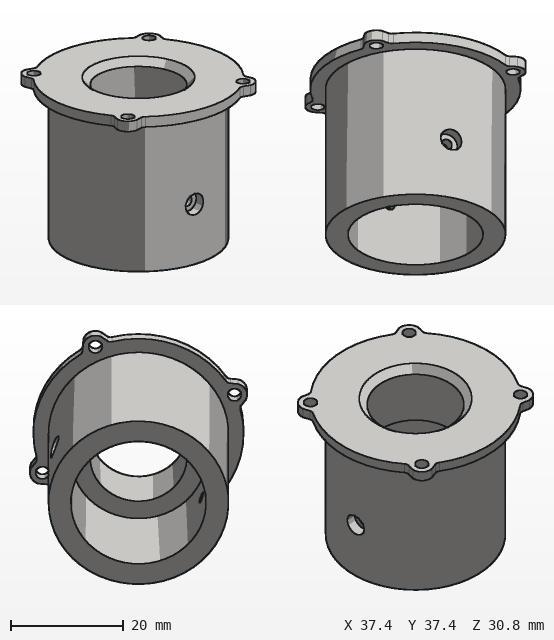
import cadquery as cq
import math

flange_diameter = 37.4
height = 30.8
flange_thickness = 2.0
body_diameter = 32.0

ear_count = 4
ear_radius = 2.25
ear_hole_diameter = 2.4
ear_fillet_radius = 1.0
ear_arc_half_angle = math.radians(50)
ear_flank_angle = math.radians(29)
ear_root_radius = 17.2

bore_diameter = 17.2
mouth_diameter = 20.0
mouth_depth = (mouth_diameter - bore_diameter) / 2
cavity_diameter = 24.0
cavity_depth = 19.0

cross_hole_height = 11.52
cross_hole_y = -0.1
cross_hole_diameter = 2.0
counterbore_diameter = 4.0
counterbore_depth = 2.1

flange_radius = flange_diameter / 2
body_radius = body_diameter / 2
flange_bottom = height - flange_thickness
ear_angles = [math.pi / 4 + 2 * math.pi * i / ear_count for i in range(ear_count)]
position_tolerance = 0.005


def make_ear(angle):
    """Ear at one polar angle: a rounded tip with straight flanks widening into the plate."""
    tip_x = flange_radius + ear_radius
    arc_end_x = flange_radius + ear_radius * math.cos(ear_arc_half_angle)
    arc_end_y = ear_radius * math.sin(ear_arc_half_angle)
    foot_y = arc_end_y + (arc_end_x - ear_root_radius) * math.tan(ear_flank_angle)
    return (
        cq.Workplane("XY")
        .workplane(offset=flange_bottom)
        .moveTo(ear_root_radius, -foot_y)
        .lineTo(arc_end_x, -arc_end_y)
        .threePointArc((tip_x, 0), (arc_end_x, arc_end_y))
        .lineTo(ear_root_radius, foot_y)
        .close()
        .extrude(flange_thickness)
        .rotate((0, 0, 0), (0, 0, 1), math.degrees(angle))
    )


def is_rim_corner(edge):
    """True for an upright edge on the rim circle, away from the X axis."""
    center = edge.Center()
    on_rim = abs(math.hypot(center.x, center.y) - flange_radius) < position_tolerance
    return on_rim and abs(center.y) > position_tolerance


def make_flange():
    """Round plate with drilled ears blended into its rim."""
    base = cq.Workplane("XY").workplane(offset=flange_bottom)
    flange = base.circle(flange_radius).extrude(flange_thickness)
    for angle in ear_angles:
        flange = flange.union(make_ear(angle))
    corners = flange.edges("|Z").filter(is_rim_corner)
    flange = corners.fillet(ear_fillet_radius)
    ear_centers = [(flange_radius * math.cos(a), flange_radius * math.sin(a)) for a in ear_angles]
    holes = base.pushPoints(ear_centers).circle(ear_hole_diameter / 2).extrude(flange_thickness)
    return flange.cut(holes)


def make_bore():
    """Revolved cutter for the cavity, the bore and its conical mouth."""
    return (
        cq.Workplane("XZ")
        .moveTo(0, 0)
        .lineTo(cavity_diameter / 2, 0)
        .lineTo(cavity_diameter / 2, cavity_depth)
        .lineTo(bore_diameter / 2, cavity_depth)
        .lineTo(bore_diameter / 2, height - mouth_depth)
        .lineTo(mouth_diameter / 2, height)
        .lineTo(0, height)
        .close()
        .revolve(360, (0, 0), (0, 1))
    )


def make_cross_holes():
    """Cutter for the aligned cross holes and their outer counterbores."""
    start = cq.Workplane("YZ").center(cross_hole_y, cross_hole_height)
    cutter = start.circle(cross_hole_diameter / 2).extrude(body_radius, both=True)
    for side in (-1, 1):
        counterbore = (
            start.workplane(offset=side * body_radius)
            .circle(counterbore_diameter / 2)
            .extrude(-side * counterbore_depth)
        )
        cutter = cutter.union(counterbore)
    return cutter


body = cq.Workplane("XY").circle(body_radius).extrude(flange_bottom)
result = body.union(make_flange()).cut(make_bore()).cut(make_cross_holes())